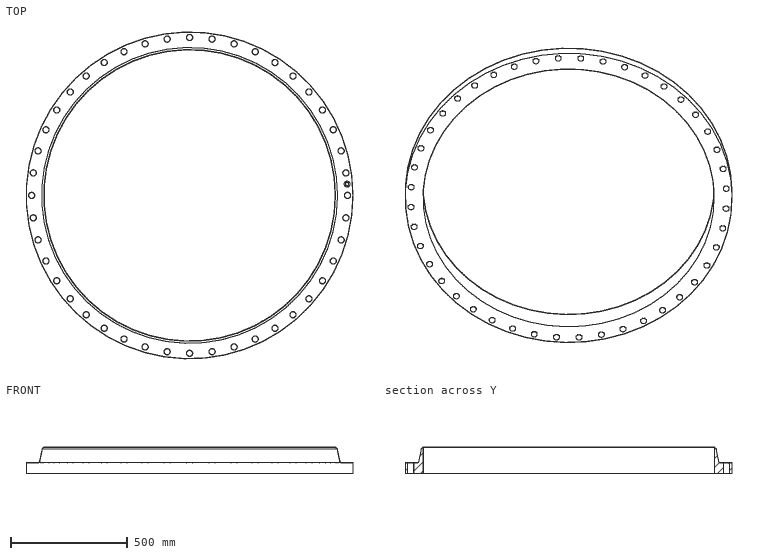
import cadquery as cq
import math

flange_diameter = 1403.35
flange_thickness = 47.8
bore_diameter = 1249.4

overall_height = 114.3
weld_end_diameter = 1270.0
hub_base_diameter = 1292.5
hub_fillet_radius = 5.5
weld_land_width = 1.6
bevel_height = 7.6
weld_end_straight = 5.0

bolt_count = 44
bolt_circle_diameter = 1355.73
bolt_hole_diameter = 25.4

step_hole_angle = 180 / bolt_count
step_hole_diameter = bolt_hole_diameter
step_hole_depth = 12.7
pilot_diameter = 14.0
pilot_depth = 25.4


def ring_with_hub():
    bore_radius = bore_diameter / 2
    flange_radius = flange_diameter / 2
    hub_base_radius = hub_base_diameter / 2
    weld_end_radius = weld_end_diameter / 2
    land_radius = bore_radius + weld_land_width
    bevel_base = overall_height - bevel_height
    profile = (
        cq.Workplane("XZ")
        .moveTo(bore_radius, 0)
        .lineTo(flange_radius, 0)
        .lineTo(flange_radius, flange_thickness)
        .lineTo(hub_base_radius, flange_thickness)
        .lineTo(weld_end_radius, bevel_base - weld_end_straight)
        .lineTo(weld_end_radius, bevel_base)
        .lineTo(land_radius, overall_height)
        .lineTo(bore_radius, overall_height)
        .close()
    )
    ring = profile.revolve(360, (0, 0, 0), (0, 1, 0))
    flange_top = ring.faces("|Z").faces(">Z[1]")
    hub_base_edge = flange_top.edges(cq.selectors.RadiusNthSelector(0))
    return hub_base_edge.fillet(hub_fillet_radius)


def bolt_holes():
    return (
        cq.Workplane("XY")
        .polarArray(bolt_circle_diameter / 2, 0, 360, bolt_count)
        .circle(bolt_hole_diameter / 2)
        .extrude(flange_thickness)
    )


def stepped_hole():
    angle = math.radians(step_hole_angle)
    radius = bolt_circle_diameter / 2
    center = (radius * math.cos(angle), radius * math.sin(angle), flange_thickness)
    top = cq.Workplane("XY", origin=center)
    counterbore = top.circle(step_hole_diameter / 2).extrude(-step_hole_depth)
    pilot = top.circle(pilot_diameter / 2).extrude(-pilot_depth)
    return counterbore.union(pilot)


result = ring_with_hub().cut(bolt_holes()).cut(stepped_hole())